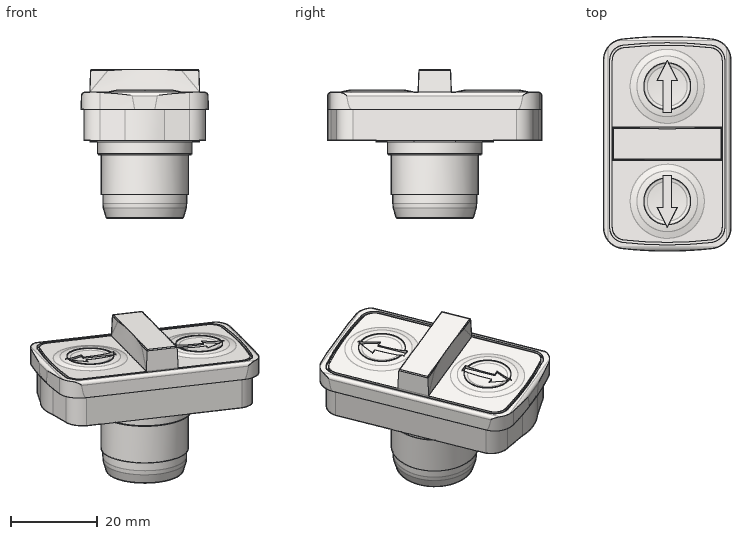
import cadquery as cq
import math

shank_neck_z = 2.35
shank_taper_z = 3.4
shank_step_z = 5.45
collar_z = 14.65
seat_z = 17.6
body_z = 17.95
cap_z = 25.1
cap_top_z = 29.05
grip_top_z = 34.3

tip_radius = 8.95
neck_radius = 9.6
taper_radius = 9.7
shank_radius = 10.1
collar_radius = 10.9
seat_radius = 13.5
seat_half_width = 12.6
collar_chamfer = 0.3
tip_chamfer = 0.2

body_half_width = 14.05
body_half_length = 24.65
body_corner_size = 3.75
body_corner_bulge = 0.9
nose_half_width = 4.5
nose_rise = 0.8
nose_slope = math.radians(12)

cap_half_width = 14.705
cap_half_length = 24.7
cap_end_radius = 91.45
cap_end_bulge = 0.03
cap_corner_radius = 4.95
cap_side_draft = 0.15
cap_end_draft = 0.02
cap_edge_fillet = 0.9

groove_inset = 1.45
groove_width = 0.6
groove_depth = 0.6

button_y = 13.25
button_radius = 8.55
crown_radius = 6.995
rim_radius = 5.415
crown_height = 0.55
gap_width = 0.125
gap_depth = 0.15
bevel_radius = 4.6
bevel_depth = 0.3
dish_depth = 0.5
arrow_depth = 0.3
arrow_half_length = 6.0
arrow_head_length = 4.6
arrow_head_half_width = 2.3
arrow_stem_half_width = 1.0

grip_base_half_width = cap_half_width - groove_inset - groove_width
grip_base_half_depth = 3.85
grip_draft = 0.2
grip_chamfer_height = 0.3
grip_chamfer_inset = 0.15
scoop_top_half_width = 8.3
scoop_depth = 0.2


def bowed_outline(half_width, apex_y, end_radius, corner_radius, z):
    """Rectangle with straight sides, bowed ends and tangent corner arcs."""
    arc_center_y = apex_y - end_radius
    corner_x = half_width - corner_radius
    reach = end_radius - corner_radius
    tilt = math.asin(corner_x / reach)
    corner_y = arc_center_y + reach * math.cos(tilt)
    end_x = end_radius * math.sin(tilt)
    end_y = arc_center_y + end_radius * math.cos(tilt)
    mid_angle = (math.pi / 2 - tilt) / 2
    mid_x = corner_x + corner_radius * math.cos(mid_angle)
    mid_y = corner_y + corner_radius * math.sin(mid_angle)
    return (
        cq.Workplane("XY", origin=(0, 0, z))
        .moveTo(half_width, -corner_y)
        .lineTo(half_width, corner_y)
        .threePointArc((mid_x, mid_y), (end_x, end_y))
        .threePointArc((0, apex_y), (-end_x, end_y))
        .threePointArc((-mid_x, mid_y), (-half_width, corner_y))
        .lineTo(-half_width, -corner_y)
        .threePointArc((-mid_x, -mid_y), (-end_x, -end_y))
        .threePointArc((0, -apex_y), (end_x, -end_y))
        .threePointArc((mid_x, -mid_y), (half_width, -corner_y))
        .close()
    )


def make_shank():
    """Stepped round shank with its collar and the flat-sided seat."""
    profile = [
        (0, 0),
        (tip_radius - tip_chamfer, 0),
        (tip_radius, tip_chamfer),
        (neck_radius, shank_neck_z),
        (taper_radius, shank_taper_z),
        (taper_radius, shank_step_z),
        (shank_radius, shank_step_z),
        (shank_radius, collar_z),
        (collar_radius - collar_chamfer, collar_z),
        (collar_radius, collar_z + collar_chamfer),
        (collar_radius, body_z),
        (0, body_z),
    ]
    shank = cq.Workplane("XZ").polyline(profile).close().revolve(360, (0, 0), (0, 1))
    seat_height = body_z - seat_z
    seat = cq.Workplane("XY", origin=(0, 0, seat_z)).circle(seat_radius).extrude(seat_height)
    flats = (
        cq.Workplane("XY", origin=(0, 0, seat_z))
        .rect(2 * seat_half_width, 2 * seat_radius)
        .extrude(seat_height)
    )
    return shank.union(seat.intersect(flats))


def make_body():
    """Rounded block whose two ends swell to a blunt nose."""
    nose_y = body_half_length - nose_rise
    corner_x = body_half_width - body_corner_size
    flat_end_y = nose_y - (corner_x - nose_half_width) * math.tan(nose_slope)
    side_y = flat_end_y - body_corner_size
    corner_mid = body_corner_size / 2 + body_corner_bulge * math.sin(math.pi / 4)
    mid_x = corner_x + corner_mid
    mid_y = side_y + corner_mid
    return (
        cq.Workplane("XY", origin=(0, 0, body_z))
        .moveTo(body_half_width, -side_y)
        .lineTo(body_half_width, side_y)
        .threePointArc((mid_x, mid_y), (corner_x, flat_end_y))
        .lineTo(nose_half_width, nose_y)
        .threePointArc((0, body_half_length), (-nose_half_width, nose_y))
        .lineTo(-corner_x, flat_end_y)
        .threePointArc((-mid_x, mid_y), (-body_half_width, side_y))
        .lineTo(-body_half_width, -side_y)
        .threePointArc((-mid_x, -mid_y), (-corner_x, -flat_end_y))
        .lineTo(-nose_half_width, -nose_y)
        .threePointArc((0, -body_half_length), (nose_half_width, -nose_y))
        .lineTo(corner_x, -flat_end_y)
        .threePointArc((mid_x, -mid_y), (body_half_width, -side_y))
        .close()
        .extrude(cap_z - body_z)
    )


def crowned_prism(plane, half_width, draft, half_run):
    """Long drafted bar with rounded upper edges, centred on the plane."""
    return (
        cq.Workplane(plane)
        .moveTo(-half_width, cap_z)
        .lineTo(half_width, cap_z)
        .lineTo(half_width - draft, cap_top_z)
        .lineTo(-half_width + draft, cap_top_z)
        .close()
        .extrude(half_run, both=True)
        .faces(">Z")
        .edges("|Y" if plane == "XZ" else "|X")
        .fillet(cap_edge_fillet)
    )


def make_cap():
    """Bowed cap trimmed by one rounded bar along each horizontal axis."""
    apex_y = cap_half_length + cap_end_bulge
    blank = bowed_outline(cap_half_width, apex_y, cap_end_radius, cap_corner_radius, cap_z)
    cap = blank.extrude(cap_top_z - cap_z)
    cap = cap.intersect(crowned_prism("XZ", cap_half_width, cap_side_draft, apex_y))
    return cap.intersect(crowned_prism("YZ", cap_half_length, cap_end_draft, cap_half_width))


def panel_prism(inset):
    """Prism over the groove depth, offset inward from the cap outline."""
    outline = bowed_outline(
        cap_half_width - inset,
        cap_half_length + cap_end_bulge - inset,
        cap_end_radius - inset,
        cap_corner_radius - inset,
        cap_top_z - groove_depth,
    )
    return outline.extrude(groove_depth)


def make_button():
    """Raised round button with a dished centre and an arrow engraved along +Y."""
    crown_top = cap_top_z + crown_height
    gap_radius = rim_radius - gap_width
    slope = crown_height / (button_radius - crown_radius + (crown_radius - rim_radius) / 2)
    flank_z = cap_top_z + slope * (button_radius - crown_radius)
    roll_mid = ((crown_radius + rim_radius) / 2, crown_top - (crown_top - flank_z) / 4)
    button = (
        cq.Workplane("XZ")
        .moveTo(0, cap_z)
        .lineTo(button_radius, cap_z)
        .lineTo(button_radius, cap_top_z)
        .lineTo(crown_radius, flank_z)
        .threePointArc(roll_mid, (rim_radius, crown_top))
        .lineTo(rim_radius, crown_top - gap_depth)
        .lineTo(gap_radius, crown_top - gap_depth)
        .lineTo(bevel_radius, crown_top - bevel_depth)
        .threePointArc(
            (bevel_radius / 2, crown_top - dish_depth + (dish_depth - bevel_depth) / 4),
            (0, crown_top - dish_depth),
        )
        .close()
        .revolve(360, (0, 0), (0, 1))
    )
    neck_y = arrow_half_length - arrow_head_length
    arrow = (
        cq.Workplane("XY", origin=(0, 0, crown_top - dish_depth - arrow_depth))
        .polyline([
            (0, arrow_half_length),
            (arrow_head_half_width, neck_y),
            (arrow_stem_half_width, neck_y),
            (arrow_stem_half_width, -arrow_half_length),
            (-arrow_stem_half_width, -arrow_half_length),
            (-arrow_stem_half_width, neck_y),
            (-arrow_head_half_width, neck_y),
        ])
        .close()
        .extrude(dish_depth + arrow_depth)
    )
    shift = (0, button_y, 0)
    return button.translate(shift), arrow.translate(shift)


def make_grip():
    """Drafted bar whose long faces lean back to a shallow arc along the top edge."""
    height = grip_top_z - cap_top_z
    taper = math.degrees(math.atan(grip_draft / height))
    grip = (
        cq.Workplane("XY", origin=(0, 0, cap_top_z))
        .rect(2 * grip_base_half_width, 2 * grip_base_half_depth)
        .extrude(height, taper=taper)
        .faces(">Z")
        .chamfer(grip_chamfer_height, grip_chamfer_inset)
    )
    base_y = grip_base_half_depth
    top_y = grip_base_half_depth - grip_draft
    outer_y = 2 * grip_base_half_depth
    scoop = (
        cq.Workplane("XY", origin=(0, 0, cap_top_z))
        .moveTo(-grip_base_half_width, base_y)
        .lineTo(grip_base_half_width, base_y)
        .lineTo(grip_base_half_width, outer_y)
        .lineTo(-grip_base_half_width, outer_y)
        .close()
        .workplane(offset=height)
        .moveTo(-scoop_top_half_width, top_y)
        .threePointArc((0, top_y - scoop_depth), (scoop_top_half_width, top_y))
        .lineTo(scoop_top_half_width, outer_y)
        .lineTo(-scoop_top_half_width, outer_y)
        .close()
        .loft(ruled=True)
    )
    return grip.cut(scoop).cut(scoop.rotate((0, 0, 0), (0, 0, 1), 180))


groove = panel_prism(groove_inset).cut(panel_prism(groove_inset + groove_width))
button, arrow = make_button()

result = make_shank().union(make_body()).union(make_cap().cut(groove))
for turn in (0, 180):
    result = result.union(button.rotate((0, 0, 0), (0, 0, 1), turn))
    result = result.cut(arrow.rotate((0, 0, 0), (0, 0, 1), turn))
result = result.union(make_grip())